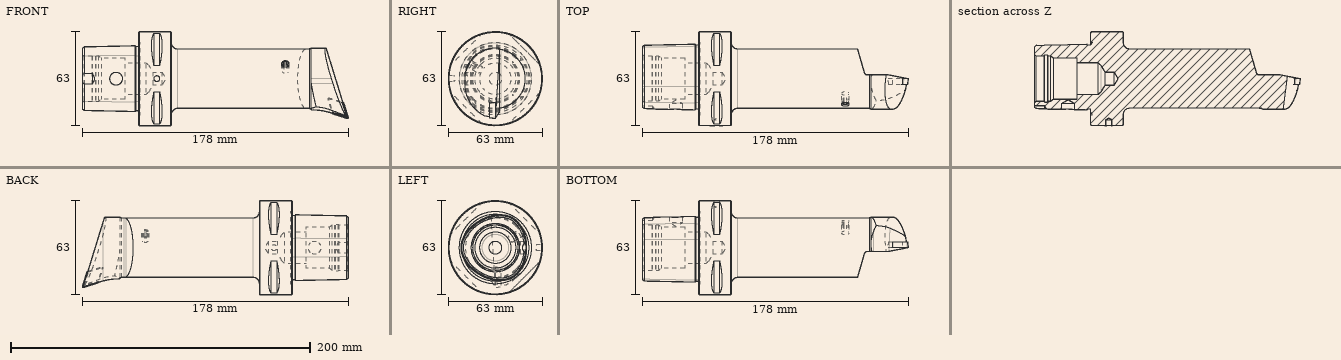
import cadquery as cq
import math


TOTAL_LENGTH = 178

SHANK_LENGTH = 37.5
NECK_LENGTH = 2.3
POLYGON_RADIUS_BASE = 22.0
POLYGON_RADIUS_END = 21.4
POLYGON_ECCENTRICITY = 1.0
LOBE_COUNT = 3
LOBE_HALF_ANGLE = 24
CURVE_STEPS = 6
SHANK_CHAMFER_LENGTH = 1.5
SHANK_CHAMFER_DEPTH = 1.0
NECK_INSET = 0.5
RECESS_INNER_RADIUS = 22.5
RECESS_RADIUS = 24.2
RECESS_DEPTH = 1.0

BORE_RADIUS = 15.1
BORE_CHAMFER = 1.0
GROOVE_RADIUS = 15.7
GROOVE_START = 6.4
GROOVE_END = 9.3
SEAT_START = 10.9
SEAT_END = 12.8
STEP_RADIUS = 13.7
STEP_DEPTH = 28.5
DRILL_RADIUS = 10.5
DRILL_DEPTH = 42.7
DRILL_END_RADIUS = 8.9
DRILL_CHAMFER_LENGTH = 1.8
CHANNEL_RADIUS = 4.3
CHANNEL_DEPTH = 53.4
DRILL_POINT_ANGLE = 118

KEYWAY_RADIUS = 4.1
KEYWAY_OFFSET = 22.2
KEYWAY_LENGTH = 6.8
SHANK_HOLE_RADIUS = 4.3
SHANK_HOLE_X = -15.0
SHANK_HOLE_FLOOR = 16.7
FLANGE_HOLE_RADIUS = 2.0
FLANGE_HOLE_FLOOR = 27.6

FLANGE_RADIUS = 31.5
FLANGE_WIDTH = 22.0
FLANGE_CHAMFER = 0.5
SLOT_X = 12.3
SLOT_FLOOR = 27.6
SLOT_FLOOR_WIDTH = 4.0
SLOT_WALL_ANGLE = 23
SLOT_ANGLES = (45, 135, 225, 315)

BAR_RADIUS = 20.0
BAR_FILLET = 4.1

HEAD_RADIUS = 20.5
HEAD_STRETCH = 3.4
HEAD_LOWER_RADIUS = 24.0
HEAD_CONE_START = 114.3
HEAD_START = 115.3
RELIEF_TOP_X = 106.5
RELIEF_TOE_X = 111.5
RELIEF_FLAT_Y = 2.7
RELIEF_FILLET = 1.6
RAKE_START_X = 126.7
HEAD_UNDERSIDE_Z = -21.0
UNDERSIDE_BLEND = 5.3

TIP_X = TOTAL_LENGTH - SHANK_LENGTH
TIP_Z = -26.7
NOSE_RADIUS = 0.7
INSERT_ANGLE = 55
EDGE_TILT = 17.5
INSERT_SIDE = 11.5
INSERT_THICKNESS = 4.0
CLEARANCE_ANGLE = 7

SCREW_X = 98.3
SCREW_ANGLE = 30
SCREW_RADIUS = 2.5
SCREW_HEAD_RADIUS = 18.5
SCREW_LENGTH = 7.1
SCREW_FLOOR_RADIUS = SCREW_HEAD_RADIUS - SCREW_LENGTH
SOCKET_ACROSS_FLATS = 3.0
SOCKET_DEPTH = 2.8


def drill_point(radius):
    """Length of the conical point left by a drill."""
    return radius / math.tan(math.radians(DRILL_POINT_ANGLE / 2))


def revolve_about_x(points):
    """Revolve an outline of (x, radius) points about the tool axis."""
    return cq.Workplane("XY").polyline(points).close().revolve(360, (0, 0, 0), (1, 0, 0))


def radial_frame(x, angle, radius):
    """Workplane square to the radius that leans `angle` degrees up from -Y."""
    outward = (0, -math.cos(math.radians(angle)), math.sin(math.radians(angle)))
    origin = (x, radius * outward[1], radius * outward[2])
    return cq.Workplane(cq.Plane(origin=origin, xDir=(1, 0, 0), normal=outward))


def blind_hole(x, radius, floor):
    """Drilled hole from the -Y side, with its conical point."""
    outline = [
        (0, floor - drill_point(radius)),
        (radius, floor),
        (radius, FLANGE_RADIUS),
        (0, FLANGE_RADIUS),
    ]
    cutter = cq.Workplane("XY").polyline(outline).close().revolve(360, (0, 0, 0), (0, 1, 0))
    return cutter.rotate((0, 0, 0), (1, 0, 0), 180).translate((x, 0, 0))


def polygon_point(x, mean_radius, angle):
    """Point of the lobed polygon whose outline normal leans `angle` from +Y."""
    a = math.radians(angle)
    support = mean_radius + POLYGON_ECCENTRICITY * math.cos(LOBE_COUNT * a)
    slope = -LOBE_COUNT * POLYGON_ECCENTRICITY * math.sin(LOBE_COUNT * a)
    y = support * math.cos(a) - slope * math.sin(a)
    z = support * math.sin(a) + slope * math.cos(a)
    return cq.Vector(x, y, z)


def polygon_wire(x, mean_radius):
    edges = []
    sector = 360 / LOBE_COUNT
    stretches = [(-LOBE_HALF_ANGLE, LOBE_HALF_ANGLE), (LOBE_HALF_ANGLE, sector - LOBE_HALF_ANGLE)]
    for lobe in range(LOBE_COUNT):
        for start, end in stretches:
            step = (end - start) / CURVE_STEPS
            angles = [lobe * sector + start + step * i for i in range(CURVE_STEPS + 1)]
            edges.append(cq.Edge.makeSpline([polygon_point(x, mean_radius, a) for a in angles]))
    return cq.Wire.assembleEdges(edges)


def make_shank():
    end_x = -SHANK_LENGTH
    chamfer_x = end_x + SHANK_CHAMFER_LENGTH
    neck_radius = POLYGON_RADIUS_BASE - NECK_INSET
    face = polygon_wire(end_x, POLYGON_RADIUS_END - SHANK_CHAMFER_DEPTH)
    rim = polygon_wire(chamfer_x, POLYGON_RADIUS_END)
    base = polygon_wire(-NECK_LENGTH, POLYGON_RADIUS_BASE)
    neck_start = polygon_wire(NECK_INSET - NECK_LENGTH, neck_radius)
    neck_root = polygon_wire(RECESS_DEPTH, neck_radius)
    wires = [face, rim, base, neck_start, neck_root]
    shank = cq.Workplane()
    for near, far in zip(wires, wires[1:]):
        shank = shank.add(cq.Solid.makeLoft([near, far], True))
    return shank.combine()


def make_bore():
    mouth = -SHANK_LENGTH
    groove_depth = GROOVE_RADIUS - BORE_RADIUS
    step_end = mouth + STEP_DEPTH
    drill_end = mouth + DRILL_DEPTH
    cone_start = drill_end + DRILL_CHAMFER_LENGTH
    cone_rate = drill_point(1)
    channel_start = cone_start + (DRILL_END_RADIUS - CHANNEL_RADIUS) * cone_rate
    channel_end = mouth + CHANNEL_DEPTH
    return revolve_about_x([
        (mouth, 0),
        (mouth, BORE_RADIUS + BORE_CHAMFER),
        (mouth + BORE_CHAMFER, BORE_RADIUS),
        (mouth + GROOVE_START, BORE_RADIUS),
        (mouth + GROOVE_START + groove_depth, GROOVE_RADIUS),
        (mouth + GROOVE_END - groove_depth, GROOVE_RADIUS),
        (mouth + GROOVE_END, BORE_RADIUS),
        (mouth + SEAT_START, BORE_RADIUS),
        (mouth + SEAT_END, STEP_RADIUS),
        (step_end, STEP_RADIUS),
        (step_end, DRILL_RADIUS),
        (drill_end, DRILL_RADIUS),
        (cone_start, DRILL_END_RADIUS),
        (channel_start, CHANNEL_RADIUS),
        (channel_end, CHANNEL_RADIUS),
        (channel_end + drill_point(CHANNEL_RADIUS), 0),
    ])


def make_keyway():
    """Drilled groove that runs along the shank from its end face."""
    end = KEYWAY_LENGTH - SHANK_LENGTH
    groove = revolve_about_x([
        (-SHANK_LENGTH, 0),
        (-SHANK_LENGTH, KEYWAY_RADIUS),
        (end, KEYWAY_RADIUS),
        (end + drill_point(KEYWAY_RADIUS), 0),
    ])
    return groove.translate((0, -KEYWAY_OFFSET, 0))


def make_flange_and_bar():
    fillet_x = FLANGE_WIDTH + BAR_FILLET
    rim = FLANGE_RADIUS - FLANGE_CHAMFER
    outline = (
        cq.Workplane("XY")
        .moveTo(0, 0)
        .lineTo(0, rim)
        .lineTo(FLANGE_CHAMFER, FLANGE_RADIUS)
        .lineTo(FLANGE_WIDTH - FLANGE_CHAMFER, FLANGE_RADIUS)
        .lineTo(FLANGE_WIDTH, rim)
        .lineTo(FLANGE_WIDTH, BAR_RADIUS + BAR_FILLET)
        .radiusArc((fillet_x, BAR_RADIUS), -BAR_FILLET)
        .lineTo(HEAD_CONE_START, BAR_RADIUS)
        .lineTo(HEAD_START, HEAD_RADIUS)
        .lineTo(HEAD_START, 0)
        .close()
    )
    recess = revolve_about_x([
        (0, RECESS_INNER_RADIUS), (0, RECESS_RADIUS), (RECESS_DEPTH, RECESS_RADIUS),
    ])
    return outline.revolve(360, (0, 0, 0), (1, 0, 0)).cut(recess)


def make_gripper_slot(angle):
    depth = FLANGE_RADIUS - SLOT_FLOOR
    half_floor = SLOT_FLOOR_WIDTH / 2
    half_mouth = half_floor + depth * math.tan(math.radians(SLOT_WALL_ANGLE))
    outline = [(-half_floor, 0), (half_floor, 0), (half_mouth, depth), (-half_mouth, depth)]
    cutter = cq.Workplane("XZ").polyline(outline).close().extrude(FLANGE_RADIUS, both=True)
    return cutter.translate((SLOT_X, 0, SLOT_FLOOR)).rotate((0, 0, 0), (1, 0, 0), angle)


def make_head_limits():
    """Prism with drafted sides that trims the end and the underside of the head."""
    tilt = math.radians(EDGE_TILT)
    reach = FLANGE_RADIUS
    top = (TIP_X - (reach - TIP_Z) * math.tan(tilt), reach)
    bend_x = TIP_X - (HEAD_UNDERSIDE_Z - TIP_Z) / math.tan(tilt)
    slope_start = (
        bend_x + UNDERSIDE_BLEND * math.cos(tilt),
        HEAD_UNDERSIDE_Z - UNDERSIDE_BLEND * math.sin(tilt),
    )
    left = HEAD_START - HEAD_RADIUS
    outline = (
        cq.Workplane("XZ", origin=(0, RELIEF_FLAT_Y, 0))
        .moveTo(left, reach)
        .lineTo(left, HEAD_UNDERSIDE_Z)
        .lineTo(bend_x - UNDERSIDE_BLEND, HEAD_UNDERSIDE_Z)
        .tangentArcPoint(slope_start, relative=False)
        .lineTo(TIP_X, TIP_Z)
        .lineTo(*top)
        .close()
    )
    return outline.extrude(RELIEF_FLAT_Y + FLANGE_RADIUS, taper=CLEARANCE_ANGLE)


def make_head():
    length = TIP_X - HEAD_START
    lower_y = HEAD_LOWER_RADIUS - HEAD_RADIUS
    lower_z = -HEAD_STRETCH - HEAD_LOWER_RADIUS
    body = (
        cq.Workplane("YZ", origin=(HEAD_START, 0, 0))
        .moveTo(HEAD_RADIUS, 0)
        .threePointArc((0, HEAD_RADIUS), (-HEAD_RADIUS, 0))
        .lineTo(-HEAD_RADIUS, -HEAD_STRETCH)
        .radiusArc((lower_y, lower_z), -HEAD_LOWER_RADIUS)
        .close()
        .extrude(length)
    )
    cone_end = HEAD_START + length
    cone = revolve_about_x([
        (HEAD_START, 0), (HEAD_START, HEAD_RADIUS), (cone_end, HEAD_RADIUS + length), (cone_end, 0),
    ])
    return body.intersect(cone).intersect(make_head_limits())


def make_side_relief():
    """Cutter for the +Y half of the head, down to the flat and the rake slope."""
    wide = FLANGE_RADIUS
    slope = (RELIEF_TOE_X - RELIEF_TOP_X) / (BAR_RADIUS - RELIEF_FLAT_Y)
    slope_end_x = RELIEF_TOE_X - slope * (wide - RELIEF_FLAT_Y)
    outline = [
        (slope_end_x, wide),
        (RELIEF_TOE_X, RELIEF_FLAT_Y),
        (RAKE_START_X, RELIEF_FLAT_Y),
        (TIP_X, 0),
        (TIP_X, wide),
    ]
    cutter = cq.Workplane("XY").polyline(outline).close().extrude(wide, both=True)
    toe = cq.selectors.NearestToPointSelector((RELIEF_TOE_X, RELIEF_FLAT_Y, 0))
    return cutter.edges(toe).fillet(RELIEF_FILLET)


def make_insert():
    tilt = math.radians(EDGE_TILT)
    overhang = NOSE_RADIUS * (math.cos(math.radians(45)) / math.sin(math.radians(INSERT_ANGLE / 2)) - 1)
    corner = (TIP_X + overhang, TIP_Z - overhang)
    up = (-INSERT_SIDE * math.sin(tilt), INSERT_SIDE * math.cos(tilt))
    back = (-INSERT_SIDE * math.cos(tilt), INSERT_SIDE * math.sin(tilt))
    rhombus = [
        corner,
        (corner[0] + up[0], corner[1] + up[1]),
        (corner[0] + up[0] + back[0], corner[1] + up[1] + back[1]),
        (corner[0] + back[0], corner[1] + back[1]),
    ]
    sketch = cq.Sketch().polygon(rhombus + rhombus[:1]).vertices().fillet(NOSE_RADIUS)
    return cq.Workplane("XZ").placeSketch(sketch).extrude(INSERT_THICKNESS, taper=CLEARANCE_ANGLE)


def make_set_screw():
    body = radial_frame(SCREW_X, SCREW_ANGLE, SCREW_FLOOR_RADIUS).circle(SCREW_RADIUS).extrude(SCREW_LENGTH)
    across_corners = SOCKET_ACROSS_FLATS / math.cos(math.radians(30))
    socket = (
        radial_frame(SCREW_X, SCREW_ANGLE, SCREW_HEAD_RADIUS - SOCKET_DEPTH)
        .polygon(6, across_corners)
        .extrude(SOCKET_DEPTH)
    )
    return body.cut(socket)


def make_holder():
    holder = make_flange_and_bar().union(make_head()).union(make_shank())
    for angle in SLOT_ANGLES:
        holder = holder.cut(make_gripper_slot(angle))
    holder = holder.cut(make_bore()).cut(make_keyway())
    holder = holder.cut(blind_hole(SHANK_HOLE_X, SHANK_HOLE_RADIUS, SHANK_HOLE_FLOOR))
    holder = holder.cut(blind_hole(SLOT_X, FLANGE_HOLE_RADIUS, FLANGE_HOLE_FLOOR))
    holder = holder.cut(make_side_relief())
    screw_frame = radial_frame(SCREW_X, SCREW_ANGLE, SCREW_FLOOR_RADIUS)
    screw_hole = screw_frame.circle(SCREW_RADIUS).extrude(BAR_RADIUS)
    return holder.cut(screw_hole).cut(make_insert())


holder = make_holder().solids().val()
insert = make_insert().solids().val()
set_screw = make_set_screw().solids().val()

result = cq.Compound.makeCompound([holder, insert, set_screw])